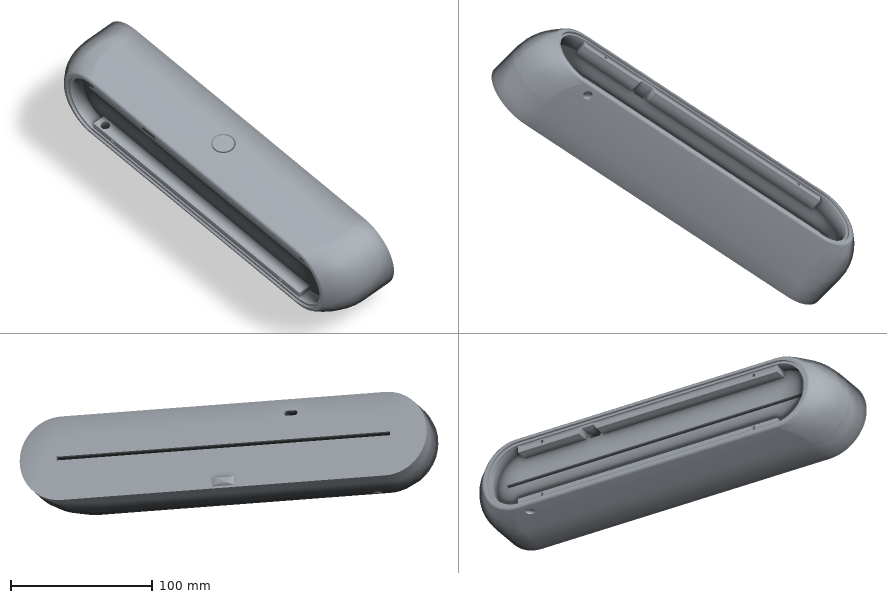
import cadquery as cq
import math

LENGTH = 300.5
HEIGHT = 61.3
BODY_DEPTH = 55.0
STRAIGHT_DEPTH = 24.3
END_ARC_RADIUS = 38.8
TOP_TAPER = 2.0
TAPER_POWER = 2
TAPER_STEPS = 5
FRONT_EDGE_RADIUS = 1.8

RECESS_HALF_LENGTH = 130.5
RECESS_HALF_HEIGHT = 24.0
FLOOR_DEPTH = 42.0
LEDGE_WIDTH = 1.8
LEDGE_SINK = 1.8

RAIL_FRONT_DEPTH = 52.0
TOP_RAIL_HEIGHT = 5.5
BOTTOM_RAIL_HEIGHT = 4.5
RAIL_OVERRUN = 1.2
RAIL_HALF_LENGTH = RECESS_HALF_LENGTH - RECESS_HALF_HEIGHT + RAIL_OVERRUN

SCREW_HOLE_DIAMETER = 2.7
SCREW_HOLE_DEPTH = 6.0
SCREW_HOLE_X = 88.0
SCREW_HOLE_Z = 21.5

SLOT_HALF_LENGTH = 123.2
SLOT_HEIGHT = 2.7
PORT_X = -50.0
PORT_HEIGHT = 3.5
PORT_FLAT_HALF_WIDTH = 4.0
PORT_HALF_WIDTH = 5.0
NOTCH_TOP_HALF_WIDTH = 5.0
NOTCH_BOTTOM_HALF_WIDTH = 7.2
CABLE_HOLE_X = -100.7
CABLE_HOLE_FROM_REAR = 47.2
CABLE_HOLE_DIAMETER = 7.0

BUMP_HALF_WIDTH = 8.0
BUMP_HALF_HEIGHT = 3.3
BUMP_HEIGHT = 2.0
BUMP_Z = -25.8

BUTTON_DEPTH = 26.0
BUTTON_RADIUS = 7.8
BUTTON_THICKNESS = 3.0
BUTTON_RIM_CHAMFER = 1.2

HALF_LENGTH = LENGTH / 2
HALF_HEIGHT = HEIGHT / 2
RAIL_THICKNESS = RAIL_FRONT_DEPTH - FLOOR_DEPTH


def plane_at(depth):
    """Plane facing the front (-Y) at a depth; local x, y are X and Z."""
    return cq.Workplane("XZ", origin=(0, -depth, 0))


def stadium(half_length, half_height, depth):
    """Stadium outline centred on the Y axis, at a depth."""
    return plane_at(depth).slot2D(2 * half_length, 2 * half_height)


def outer_half_sizes(depth):
    """Half length and half height of the outside at a depth, before the front edge is rounded."""
    forward = depth - STRAIGHT_DEPTH
    end_inset = END_ARC_RADIUS - math.sqrt(END_ARC_RADIUS**2 - forward**2)
    top_inset = TOP_TAPER * (forward / (BODY_DEPTH - STRAIGHT_DEPTH)) ** TAPER_POWER
    return HALF_LENGTH - end_inset, HALF_HEIGHT - top_inset


def shell():
    rear = stadium(HALF_LENGTH, HALF_HEIGHT, 0).extrude(STRAIGHT_DEPTH)
    taper_step = (BODY_DEPTH - STRAIGHT_DEPTH) / TAPER_STEPS
    sections = []
    for index in range(TAPER_STEPS + 1):
        depth = STRAIGHT_DEPTH + index * taper_step
        half_length, half_height = outer_half_sizes(depth)
        sections.append(stadium(half_length, half_height, depth).wires().val())
    front = cq.Workplane(cq.Solid.makeLoft(sections))
    front = front.faces("<Y").edges().fillet(FRONT_EDGE_RADIUS)
    return rear.union(front)


def front_recess():
    cavity_depth = BODY_DEPTH - FLOOR_DEPTH
    cavity = stadium(RECESS_HALF_LENGTH, RECESS_HALF_HEIGHT, FLOOR_DEPTH).extrude(cavity_depth)
    ledge = stadium(
        RECESS_HALF_LENGTH + LEDGE_WIDTH, RECESS_HALF_HEIGHT + LEDGE_WIDTH, BODY_DEPTH - LEDGE_SINK
    ).extrude(LEDGE_SINK)
    return cavity.union(ledge)


def rail(height, side):
    """Rail on the recess floor against the top (side = 1) or bottom (side = -1) wall."""
    center_z = side * (RECESS_HALF_HEIGHT - height / 2)
    return (
        plane_at(FLOOR_DEPTH)
        .center(0, center_z)
        .rect(2 * RAIL_HALF_LENGTH, height)
        .extrude(RAIL_THICKNESS)
    )


def screw_holes():
    return (
        plane_at(RAIL_FRONT_DEPTH - SCREW_HOLE_DEPTH)
        .rect(2 * SCREW_HOLE_X, 2 * SCREW_HOLE_Z, forConstruction=True)
        .vertices()
        .circle(SCREW_HOLE_DIAMETER / 2)
        .extrude(SCREW_HOLE_DEPTH)
    )


def long_slot():
    return plane_at(0).rect(2 * SLOT_HALF_LENGTH, SLOT_HEIGHT).extrude(FLOOR_DEPTH)


def port():
    """Six-sided opening through to the rear, with a flared notch in the top rail."""
    bottom_z = RECESS_HALF_HEIGHT - TOP_RAIL_HEIGHT
    middle_z = bottom_z + PORT_HEIGHT / 2
    top_z = bottom_z + PORT_HEIGHT
    opening = (
        plane_at(0)
        .center(PORT_X, 0)
        .polyline(
            [
                (-PORT_FLAT_HALF_WIDTH, bottom_z),
                (PORT_FLAT_HALF_WIDTH, bottom_z),
                (PORT_HALF_WIDTH, middle_z),
                (PORT_FLAT_HALF_WIDTH, top_z),
                (-PORT_FLAT_HALF_WIDTH, top_z),
                (-PORT_HALF_WIDTH, middle_z),
            ]
        )
        .close()
        .extrude(FLOOR_DEPTH)
    )
    notch = (
        plane_at(FLOOR_DEPTH)
        .center(PORT_X, 0)
        .polyline(
            [
                (-NOTCH_BOTTOM_HALF_WIDTH, bottom_z),
                (NOTCH_BOTTOM_HALF_WIDTH, bottom_z),
                (NOTCH_TOP_HALF_WIDTH, top_z),
                (-NOTCH_TOP_HALF_WIDTH, top_z),
            ]
        )
        .close()
        .extrude(RAIL_THICKNESS)
    )
    return opening.union(notch)


def cable_hole():
    """Upright hole through the bottom rail and the bottom wall."""
    rail_top_z = -RECESS_HALF_HEIGHT + BOTTOM_RAIL_HEIGHT
    return (
        cq.Workplane("XY", origin=(CABLE_HOLE_X, -CABLE_HOLE_FROM_REAR, -HALF_HEIGHT))
        .circle(CABLE_HOLE_DIAMETER / 2)
        .extrude(rail_top_z + HALF_HEIGHT)
    )


def rear_bump():
    """Low dome: an arc across its width, trimmed to an arc across its height."""
    across_width = (
        cq.Workplane("XY", origin=(0, 0, BUMP_Z - BUMP_HALF_HEIGHT))
        .moveTo(-BUMP_HALF_WIDTH, 0)
        .threePointArc((0, BUMP_HEIGHT), (BUMP_HALF_WIDTH, 0))
        .close()
        .extrude(2 * BUMP_HALF_HEIGHT)
    )
    across_height = (
        cq.Workplane("YZ", origin=(-BUMP_HALF_WIDTH, 0, BUMP_Z))
        .moveTo(0, -BUMP_HALF_HEIGHT)
        .threePointArc((BUMP_HEIGHT, 0), (0, BUMP_HALF_HEIGHT))
        .close()
        .extrude(2 * BUMP_HALF_WIDTH)
    )
    return across_width.intersect(across_height)


def button():
    return (
        cq.Workplane("XY", origin=(0, -BUTTON_DEPTH, HALF_HEIGHT - BUTTON_THICKNESS))
        .circle(BUTTON_RADIUS)
        .extrude(BUTTON_THICKNESS)
    )


def button_pocket():
    """Round pocket that holds the button, chamfered around its rim."""
    rim = cq.Solid.makeCone(
        BUTTON_RADIUS,
        BUTTON_RADIUS + BUTTON_RIM_CHAMFER,
        BUTTON_RIM_CHAMFER,
        cq.Vector(0, -BUTTON_DEPTH, HALF_HEIGHT - BUTTON_RIM_CHAMFER),
    )
    return button().union(cq.Workplane(rim))


def housing():
    body = shell().cut(front_recess())
    body = body.union(rail(TOP_RAIL_HEIGHT, 1)).union(rail(BOTTOM_RAIL_HEIGHT, -1))
    for opening in (screw_holes(), long_slot(), port(), cable_hole(), button_pocket()):
        body = body.cut(opening)
    return body.union(rear_bump())


result = cq.Compound.makeCompound([housing().val(), button().val()])